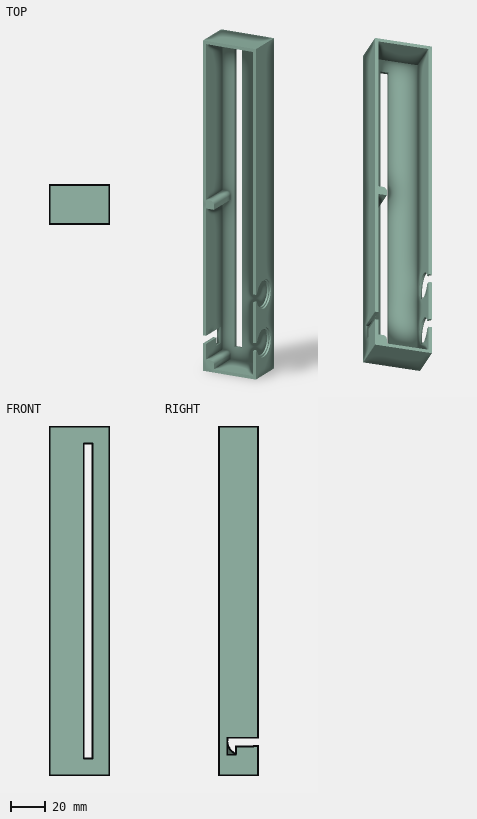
import cadquery as cq

WIDTH = 35.0
DEPTH = 23.0
HEIGHT = 205.0
WALL = 2.0

WINDOW_LEFT = 20.0
WINDOW_WIDTH = 5.0
WINDOW_MARGIN = 10.0

SEAT_HEIGHTS = (20.0, 50.0)
SEAT_Y = 12.9
SEAT_DIAMETER = 15.8
SEAT_STEP_DIAMETER = 17.9
SEAT_STEP_DEPTH = 1.0
SEAT_MOUTH = 5.2

HOOK_WIDTH = 5.0
HOOK_Z = 19.5
HOOK_LEG_FRONT_Y = 5.0
HOOK_LEG_DROP = 5.0

POST_BOTTOMS = (WALL, 101.0)
POST_CORNER_DIAMETER = 4.5
POST_CENTER_OFFSET = 3.0
POST_SIZE = POST_CENTER_OFFSET + POST_CORNER_DIAMETER / 2


def block(x_range, y_range, z_range):
    """Box spanning the given (low, high) ranges."""
    lows, highs = zip(x_range, y_range, z_range)
    sizes = [high - low for low, high in zip(lows, highs)]
    return cq.Workplane("XY").box(*sizes, centered=False).translate(lows)


def make_shell():
    outer = block((0, WIDTH), (0, DEPTH), (0, HEIGHT))
    cavity = block((WALL, WIDTH - WALL), (WALL, DEPTH), (WALL, HEIGHT - WALL))
    return outer.cut(cavity)


def make_window():
    return block(
        (WINDOW_LEFT, WINDOW_LEFT + WINDOW_WIDTH),
        (0, WALL),
        (WINDOW_MARGIN, HEIGHT - WINDOW_MARGIN),
    )


def make_seat(z):
    plane = cq.Workplane("YZ").center(SEAT_Y, z)
    bore = plane.circle(SEAT_DIAMETER / 2).extrude(WALL)
    step = plane.circle(SEAT_STEP_DIAMETER / 2).extrude(SEAT_STEP_DEPTH)
    mouth = block((0, WALL), (SEAT_Y, DEPTH), (z - SEAT_MOUTH / 2, z + SEAT_MOUTH / 2))
    return bore.union(step).union(mouth)


def make_hook():
    wall_range = (WIDTH - WALL, WIDTH)
    bottom = HOOK_Z - HOOK_WIDTH / 2
    top = HOOK_Z + HOOK_WIDTH / 2
    entry = block(wall_range, (HOOK_LEG_FRONT_Y, DEPTH), (bottom, top))
    leg_y_range = (HOOK_LEG_FRONT_Y, HOOK_LEG_FRONT_Y + HOOK_WIDTH)
    leg = block(wall_range, leg_y_range, (bottom - HOOK_LEG_DROP, top))
    return entry.union(leg)


def make_post(bottom):
    inner_wall_x = WIDTH - WALL
    post = block(
        (inner_wall_x - POST_SIZE, inner_wall_x),
        (WALL, DEPTH),
        (bottom, bottom + POST_SIZE),
    )
    return post.edges("|Y and <X and >Z").fillet(POST_CORNER_DIAMETER / 2)


result = make_shell().cut(make_window()).cut(make_hook())
for seat_z in SEAT_HEIGHTS:
    result = result.cut(make_seat(seat_z))
for post_bottom in POST_BOTTOMS:
    result = result.union(make_post(post_bottom))